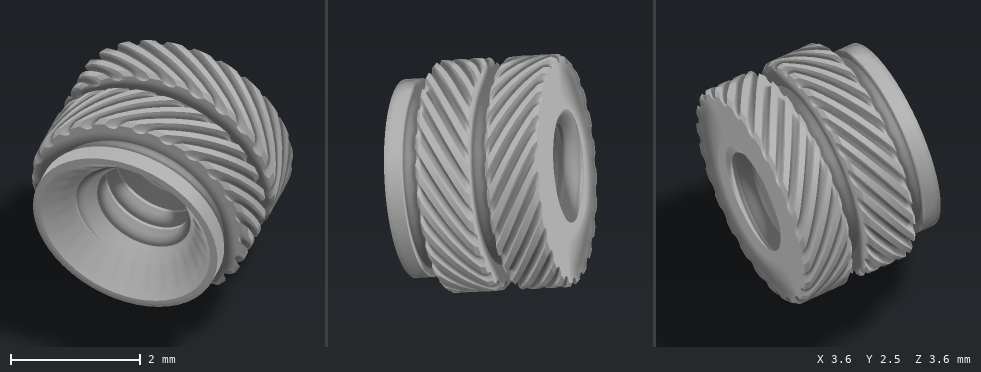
import cadquery as cq
import math


length = 2.5
step = length / 9
lower_ring_start = 2 * step
ring_width = 3 * step
upper_ring_start = length - ring_width

ring_radius = 1.8
flange_radius = 1.535
neck_radius = 1.41
ring_embed = 0.2

groove_count = 24
groove_radius = 0.14
groove_overrun = 0.1
ring_chamfer = 0.06
knurl_twist = 47.0

pitch = 0.4
thread_major_radius = 1.0
flank_angle = math.radians(30)
flat_width = pitch / 8
flank_width = (pitch - 2 * flat_width) / 2
thread_depth = flank_width / math.tan(flank_angle)
bore_radius = thread_major_radius - thread_depth
thread_start = -0.152
cutter_overlap = 0.01

countersink_depth = neck_radius - bore_radius


def core():
    """Neck and end flange turned as one tube, countersunk at the entry face."""
    return (
        cq.Workplane("YZ")
        .moveTo(neck_radius, 0)
        .lineTo(flange_radius, 0)
        .lineTo(flange_radius, step)
        .lineTo(neck_radius, step)
        .lineTo(neck_radius, length)
        .lineTo(bore_radius, length)
        .lineTo(bore_radius, countersink_depth)
        .close()
        .revolve(360, (0, 0), (0, 1))
    )


def knurled_ring(start, twist, first_groove):
    """Chamfered ring with helical round grooves centred on its outer radius.

    The groove at angle first_groove on the ring's near face turns by twist over the ring width.
    """
    ring = (
        cq.Workplane("XY")
        .circle(ring_radius)
        .extrude(ring_width)
        .edges()
        .chamfer(ring_chamfer)
        .cut(cq.Workplane("XY").circle(neck_radius - ring_embed).extrude(ring_width))
    )
    cutter_length = ring_width + 2 * groove_overrun
    overrun_twist = twist * groove_overrun / ring_width
    groove = (
        cq.Workplane("XY", origin=(0, 0, -groove_overrun))
        .moveTo(ring_radius, 0)
        .circle(groove_radius)
        .twistExtrude(cutter_length, twist + 2 * overrun_twist)
        .val()
    )
    grooves = []
    for index in range(groove_count):
        angle = first_groove - overrun_twist + index * 360 / groove_count
        grooves.append(groove.rotate(cq.Vector(0, 0, 0), cq.Vector(0, 0, 1), angle))
    return cq.Workplane("XY").add(ring.val().cut(*grooves)).translate((0, 0, start))


def thread_cutter():
    """Right-handed trapezoidal groove, running out through both ends of the bore."""
    inner_radius = bore_radius - cutter_overlap
    inner_half = flat_width / 2 + (thread_major_radius - inner_radius) * math.tan(flank_angle)
    thread_length = length + pitch - thread_start
    path = cq.Wire.makeHelix(pitch, thread_length, bore_radius).translate(cq.Vector(0, 0, thread_start))
    profile = (
        cq.Workplane("XZ")
        .moveTo(inner_radius, thread_start - inner_half)
        .lineTo(thread_major_radius, thread_start - flat_width / 2)
        .lineTo(thread_major_radius, thread_start + flat_width / 2)
        .lineTo(inner_radius, thread_start + inner_half)
        .close()
    )
    return profile.sweep(cq.Workplane("XY").add(path), isFrenet=True)


body = core().cut(thread_cutter())
body = body.union(knurled_ring(lower_ring_start, knurl_twist, 0))
body = body.union(knurled_ring(upper_ring_start, -knurl_twist, knurl_twist))

result = body.rotate((0, 0, 0), (1, 0, 0), -90)